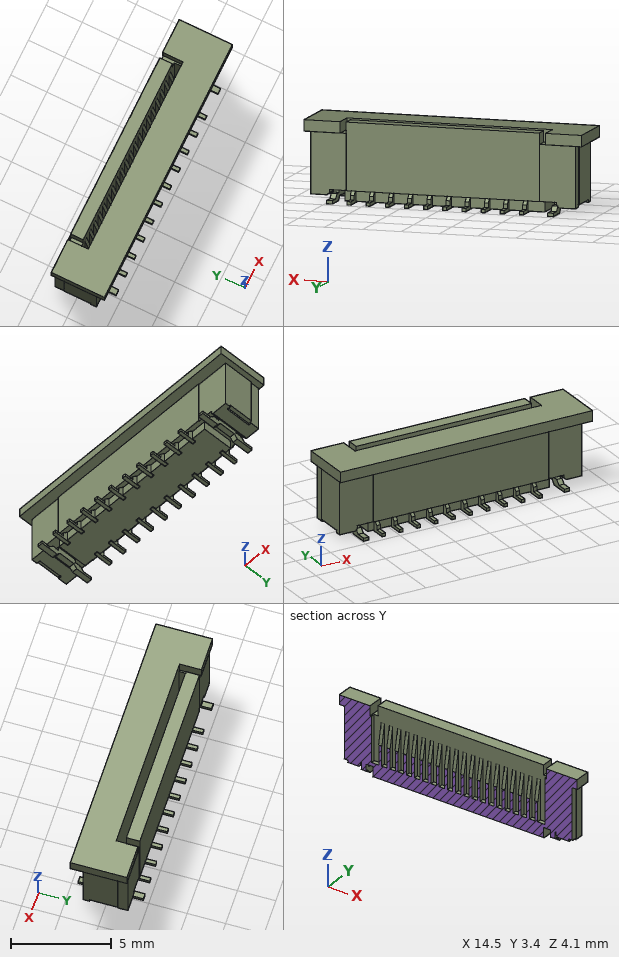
import cadquery as cq

length = 14.5
height = 4.1
flange_thickness = 0.58
flange_bottom = height - flange_thickness
end_block_bottom = 0.36
core_bottom = 0.64
base_bottom = 0.06

flange_front = -1.7
flange_back = 1.25
core_front = -1.16
body_front = -1.12
body_back = 1.2

body_half_length = 6.96
core_half_length = 5.05
base_half_length = 5.22
base_half_width = 0.9

side_step = 0.05
side_step_front = 0.68
end_notch_front = -0.78
end_notch_depth = 0.22
end_notch_height = 0.13
relief_half_length = 5.93
relief_chamfer = 0.13

recess_half_length = 5.36
slot_half_length = 5.28
slot_front = 0.12
slot_back = 0.55
slot_floor = 0.87

contact_count = 20
contact_pitch = 0.5
contact_width = 0.2
contact_front = 0.17
contact_front_top = 1.16
contact_back_top = 3.19

pin_reach = 1.7
foot_thickness = 0.17
pin_shoulder = 0.4
pin_bend = 1.16
bend_run = 0.22
signal_foot_inner = 0.68
anchor_position = 5.77
anchor_width = 0.3
arch_height = 0.23
arch_foot_inner = 0.68
arch_top_inner = 0.48
post_half_width = 0.58


def box(x_range, y_range, z_range):
    """Box between the given limits on each axis."""
    size = [limits[1] - limits[0] for limits in (x_range, y_range, z_range)]
    corner = (x_range[0], y_range[0], z_range[0])
    return cq.Workplane("XY").box(*size, centered=False).translate(corner)


def centred_box(half_length, y_range, z_range):
    """Box symmetric about the YZ plane."""
    return box((-half_length, half_length), y_range, z_range)


def plate(profile, width, x_centre):
    """Extrude a closed (Y, Z) profile along X about a centre position."""
    return (
        cq.Workplane("YZ")
        .polyline(profile)
        .close()
        .extrude(width / 2, both=True)
        .translate((x_centre, 0, 0))
    )


def make_body():
    """Housing below the flange, with relieved underside and stepped ends."""
    outline = [
        (-body_half_length, flange_bottom),
        (-body_half_length, end_block_bottom),
        (-relief_half_length - relief_chamfer, end_block_bottom),
        (-relief_half_length, end_block_bottom + relief_chamfer),
        (-relief_half_length, core_bottom),
        (relief_half_length, core_bottom),
        (relief_half_length, end_block_bottom + relief_chamfer),
        (relief_half_length + relief_chamfer, end_block_bottom),
        (body_half_length, end_block_bottom),
        (body_half_length, flange_bottom),
    ]
    body = (
        cq.Workplane("XZ", origin=(0, body_back, 0))
        .polyline(outline)
        .close()
        .extrude(body_back - body_front)
    )
    for side in (-1, 1):
        step_x = sorted((side * (body_half_length - side_step), side * body_half_length))
        notch_x = sorted((side * (body_half_length - end_notch_depth), side * body_half_length))
        notch_top = end_block_bottom + end_notch_height
        body = body.cut(box(step_x, (side_step_front, body_back), (end_block_bottom, flange_bottom)))
        body = body.cut(box(notch_x, (end_notch_front, side_step_front), (end_block_bottom, notch_top)))
    return body


def make_housing():
    """Flange, body, core and base joined, with the cable slot cut from above."""
    flange = centred_box(length / 2, (flange_front, flange_back), (flange_bottom, height))
    recess = centred_box(recess_half_length, (slot_front, flange_back), (flange_bottom, height))
    core = centred_box(core_half_length, (core_front, flange_back), (core_bottom, flange_bottom))
    base = centred_box(base_half_length, (-base_half_width, base_half_width), (base_bottom, core_bottom))
    slot = centred_box(slot_half_length, (slot_front, slot_back), (slot_floor, height))
    tongue = centred_box(core_half_length, (slot_back, flange_back), (flange_bottom, height))
    housing = make_body().union(flange.cut(recess)).union(core).union(base)
    return housing.cut(slot).union(tongue)


def make_contact(x_centre):
    """Steep ramp standing on the slot floor against its back wall."""
    profile = [
        (contact_front, slot_floor),
        (slot_back, slot_floor),
        (slot_back, contact_back_top),
        (contact_front, contact_front_top),
    ]
    return plate(profile, contact_width, x_centre)


def make_signal_pin(x_centre, side):
    """Solder pin leaving the base towards -Y (side = -1) or +Y (side = 1)."""
    profile = [
        (signal_foot_inner, 0),
        (pin_reach, 0),
        (pin_reach, foot_thickness),
        (pin_bend, foot_thickness),
        (pin_bend, pin_shoulder),
        (pin_bend - bend_run, core_bottom),
        (signal_foot_inner, core_bottom),
    ]
    return plate([(side * y, z) for y, z in profile], contact_width, x_centre)


def make_anchor(x_centre):
    """Arched end pin with a foot on each side and a post up into the body."""
    half_profile = [
        (arch_top_inner, arch_height),
        (arch_foot_inner, 0),
        (pin_reach, 0),
        (pin_reach, foot_thickness),
        (pin_bend, foot_thickness),
        (pin_bend - bend_run, pin_shoulder),
        (post_half_width, pin_shoulder),
        (post_half_width, core_bottom),
    ]
    mirrored = [(-y, z) for y, z in reversed(half_profile)]
    return plate(half_profile + mirrored, anchor_width, x_centre)


result = make_housing()

for index in range(contact_count):
    x_centre = (index - (contact_count - 1) / 2) * contact_pitch
    pin_side = -1 if index % 2 == 0 else 1
    result = result.union(make_contact(x_centre))
    result = result.union(make_signal_pin(x_centre, pin_side))

for x_centre in (-anchor_position, anchor_position):
    result = result.union(make_anchor(x_centre))